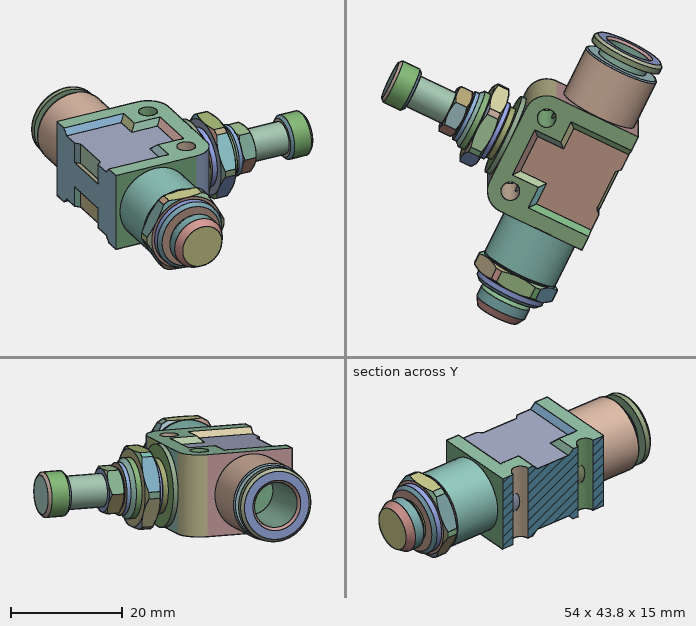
import cadquery as cq
import math


body_width = 23.05
body_height = 15.0
body_front = -7.85
body_back = 12.55
corner_radius = 4.1
mount_hole_diameter = 3.35

recess_half_width = 8.75
recess_neck_half_width = 4.6
recess_shoulder = 4.2
recess_back = 9.4
recess_depth = 1.1

pocket_half_width = 4.6
pocket_depth = 0.8
rib_height = 4.95

barrel_radius = 7.0
barrel_end = 20.65
barrel_edge_chamfer = 0.25

ring_face = -24.0
ring_thickness = 1.55
ring_radius = 6.75
ring_chamfer = 0.55
ring_neck_radius = 4.65
bore_radius = 4.1
bore_chamfer = 0.5

plug_shoulder_radius = 6.5
plug_shoulder_end = 25.65
plug_shoulder_chamfer = 0.65
plug_groove_radius = 4.05
plug_groove_end = 26.0
plug_head_radius = 4.8
plug_head_start = 26.7
plug_head_taper_start = 28.55
plug_tip_radius = 3.95
plug_tip = 30.0

hex_corner_ratio = 1 / math.cos(math.radians(30))
nut_chamfer_slope = math.tan(math.radians(30))

nut_across_flats = 14.05
nut_corner_diameter = 15.55
nut_thickness = 2.95
plug_nut_start = 20.95
screw_nut_start = 15.7

collar_radius = body_height / 2
collar_end = 13.45
screw_neck_radius = 5.0
thread_radius = 5.5
thread_start = 14.45
thread_chamfer = 0.25
thread_end = 19.75
sleeve_radius = 4.75
sleeve_start = 20.5
sleeve_end = 21.3
spacer_radius = 3.8
spacer_end = 21.5
lock_nut_across_flats = 7.9
lock_nut_thickness = 2.85
stem_radius = 3.0
cap_start = 31.5
cap_end = 35.95
cap_radius = 4.1
cap_chamfer = 0.55


def turned(profile):
    """Solid turned about X from (x, radius) points, closed along the axis."""
    outline = [(profile[0][0], 0)] + profile + [(profile[-1][0], 0)]
    return cq.Workplane("XY").polyline(outline).close().revolve(360, (0, 0, 0), (1, 0, 0))


def along_y(solid):
    """Swing a solid built along +X round to +Y."""
    return solid.rotate((0, 0, 0), (0, 0, 1), 90)


def hex_nut(start, thickness, across_flats, corner_diameter):
    """Hexagon along X with flats facing up and down and both ends chamfered at 30 degrees."""
    flat_radius = across_flats / 2
    tip_radius = corner_diameter / 2
    end = start + thickness
    chamfer = (tip_radius - flat_radius) * nut_chamfer_slope
    envelope = turned([
        (start, flat_radius),
        (start + chamfer, tip_radius),
        (end - chamfer, tip_radius),
        (end, flat_radius),
    ])
    sharp_diameter = across_flats * hex_corner_ratio
    prism = cq.Workplane("YZ", origin=(start, 0, 0)).polygon(6, sharp_diameter).extrude(thickness)
    return prism.intersect(envelope)


def valve_body():
    depth = body_back - body_front
    center_y = (body_back + body_front) / 2
    body = (
        cq.Workplane("XY")
        .center(0, center_y)
        .box(body_width, depth, body_height)
        .edges("|Z and >Y")
        .fillet(corner_radius)
    )
    hole_x = body_width / 2 - corner_radius
    hole_y = body_back - corner_radius
    holes = (
        cq.Workplane("XY", origin=(0, 0, -body_height / 2))
        .pushPoints([(-hole_x, hole_y), (hole_x, hole_y)])
        .circle(mount_hole_diameter / 2)
        .extrude(body_height)
    )
    return body.cut(holes)


def sloped_pocket(half_width, back):
    """Open-fronted pocket in the top face with walls sloping in at 45 degrees."""
    top = body_height / 2
    floor = top - recess_depth

    def rectangle(inset):
        half = half_width - inset
        rear = back - inset
        return [(-half, body_front), (half, body_front), (half, rear), (-half, rear)]

    lower = cq.Wire.makePolygon([cq.Vector(x, y, floor) for x, y in rectangle(recess_depth)], close=True)
    upper = cq.Wire.makePolygon([cq.Vector(x, y, top) for x, y in rectangle(0)], close=True)
    return cq.Workplane(cq.Solid.makeLoft([lower, upper], True))


def top_recess():
    wide = sloped_pocket(recess_half_width, recess_shoulder)
    return wide.union(sloped_pocket(recess_neck_half_width, recess_back))


def grip_pocket():
    floor_y = body_front + pocket_depth
    floor_half = pocket_half_width - pocket_depth
    return (
        cq.Workplane("XY", origin=(0, 0, rib_height / 2))
        .polyline([
            (-pocket_half_width, body_front),
            (pocket_half_width, body_front),
            (floor_half, floor_y),
            (-floor_half, floor_y),
        ])
        .close()
        .extrude((body_height - rib_height) / 2)
    )


def port_line():
    """Both barrels, the release ring and the plug end as one turned piece."""
    ring_back = ring_face + ring_thickness
    return turned([
        (ring_face, ring_radius - ring_chamfer),
        (ring_face + ring_chamfer, ring_radius),
        (ring_back, ring_radius),
        (ring_back, ring_neck_radius),
        (-barrel_end - barrel_edge_chamfer, ring_neck_radius),
        (-barrel_end - barrel_edge_chamfer, barrel_radius - barrel_edge_chamfer),
        (-barrel_end, barrel_radius),
        (barrel_end, barrel_radius),
        (barrel_end, plug_shoulder_radius),
        (plug_shoulder_end - plug_shoulder_chamfer, plug_shoulder_radius),
        (plug_shoulder_end, plug_shoulder_radius - plug_shoulder_chamfer),
        (plug_shoulder_end, plug_groove_radius),
        (plug_groove_end, plug_groove_radius),
        (plug_head_start, plug_head_radius),
        (plug_head_taper_start, plug_head_radius),
        (plug_tip, plug_tip_radius),
    ])


def push_in_bore():
    """Blind tube socket that stops level with the side of the body."""
    return turned([
        (ring_face, bore_radius + bore_chamfer),
        (ring_face + bore_chamfer, bore_radius),
        (-body_width / 2, bore_radius),
    ])


def adjusting_screw():
    return along_y(turned([
        (body_back, collar_radius),
        (collar_end, collar_radius),
        (collar_end, screw_neck_radius),
        (thread_start, screw_neck_radius),
        (thread_start + thread_chamfer, thread_radius),
        (thread_end, thread_radius),
        (sleeve_start, sleeve_radius),
        (sleeve_end, sleeve_radius),
        (sleeve_end, spacer_radius),
        (spacer_end, spacer_radius),
        (spacer_end, stem_radius),
        (cap_start, stem_radius),
        (cap_start, cap_radius - cap_chamfer),
        (cap_start + cap_chamfer, cap_radius),
        (cap_end - cap_chamfer, cap_radius),
        (cap_end, cap_radius - cap_chamfer),
    ]))


lock_nut_corners = lock_nut_across_flats * hex_corner_ratio
plug_nut = hex_nut(plug_nut_start, nut_thickness, nut_across_flats, nut_corner_diameter)
screw_nut = along_y(hex_nut(screw_nut_start, nut_thickness, nut_across_flats, nut_corner_diameter))
lock_nut = along_y(hex_nut(spacer_end, lock_nut_thickness, lock_nut_across_flats, lock_nut_corners))

result = valve_body()
for piece in (port_line(), adjusting_screw(), plug_nut, screw_nut, lock_nut):
    result = result.union(piece)
for pocket in (top_recess(), grip_pocket()):
    result = result.cut(pocket).cut(pocket.mirror("XY"))
result = result.cut(push_in_bore())